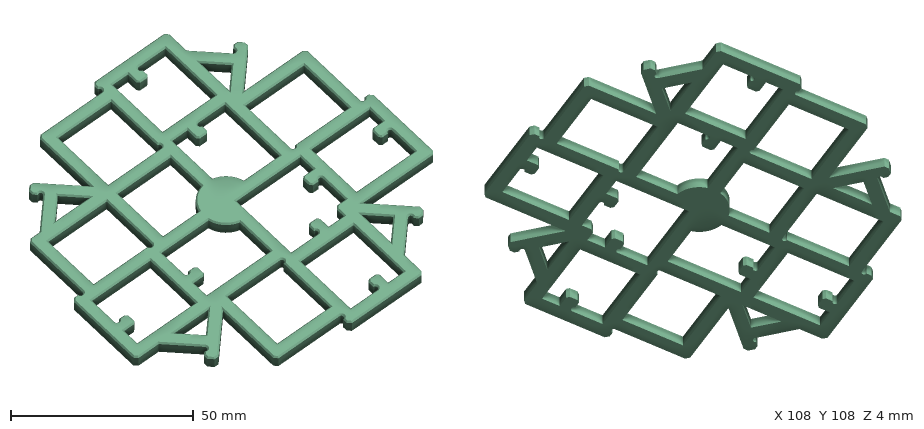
import cadquery as cq
import math

side = 108.0
thickness = 4.0
bar = 4.0
corner_cut = 1.0
cell_hook_length = 4.3
tip_cut = 0.75
edge_cut = 0.46
notch_radius = 0.75
hub_radius = 8.3

half_bar = bar / 2
far = side / 2
near = far - bar
pitch = near / 2
mid = pitch - half_bar
hook_line = mid / 2


def block(x0, y0, x1, y1):
    """Full-height block between two opposite corners."""
    return cq.Workplane("XY").box(x1 - x0, y1 - y0, thickness, centered=False).translate((x0, y0, 0))


def notch(x, y):
    """Full-height round cutter."""
    return cq.Workplane("XY").center(x, y).circle(notch_radius).extrude(thickness)


def turned(body, angle):
    """Copy of a body rotated about the Z axis."""
    return body.rotate((0, 0, 0), (0, 0, 1), angle)


def bevel_top(body):
    """Chamfer every edge of the top face."""
    return body.faces(">Z").edges().chamfer(edge_cut)


def hook(length, cut):
    """Hook pointing along +X from the origin, with its notched flank on the X axis."""
    body = block(-half_bar, -bar, length, 0).edges("|Z and >X").chamfer(cut)
    return body.cut(notch(notch_radius, 0))


def diagonal_arm():
    """Hooked arm along +X, propped by a brace running toward +Y."""
    start = mid * math.sqrt(2)
    brace_length = near - half_bar - start
    arm = block(start, -half_bar, near, half_bar)
    brace = block(near - bar, 0, near, brace_length)
    return arm.union(brace).union(hook(bar, corner_cut).translate((near, half_bar, 0)))


panels = [
    (-half_bar, -far, pitch, far),
    (-pitch, -near, half_bar, near),
    (-far, -half_bar, far, pitch),
    (-near, -pitch, near, half_bar),
]
frame = cq.Workplane("XY")
for panel in panels:
    frame = frame.union(block(*panel).edges("|Z").chamfer(corner_cut))

inner = pitch - bar
outer = pitch + bar
end = near - bar
cells = [
    (half_bar, outer, inner, near),
    (half_bar, -near, inner, -outer),
    (half_bar, -pitch, inner, -half_bar),
    (-inner, pitch, -half_bar, end),
    (-inner, -end, -half_bar, -pitch),
    (-inner, -inner, -half_bar, -half_bar),
    (-pitch, half_bar, -half_bar, inner),
    (-near, half_bar, -outer, inner),
    (outer, half_bar, near, inner),
    (-end, -inner, -pitch, -half_bar),
    (pitch, -inner, end, -half_bar),
]
for cell in cells:
    frame = frame.cut(block(*cell))

corner_fill = block(inner, inner, pitch, pitch).edges("|Z and <X and <Y").chamfer(corner_cut)
frame = frame.cut(block(half_bar, half_bar, pitch, pitch).cut(corner_fill))

for line in (pitch, near):
    relief = line + notch_radius
    for sign in (-1, 1):
        frame = frame.cut(notch(-half_bar, sign * relief))
        frame = frame.cut(notch(sign * relief, -half_bar))

for root in (pitch, near):
    hook_places = [
        (hook_line, root, -90),
        (hook_line, -root, 90),
        (-root, hook_line, 0),
        (root, hook_line, 180),
    ]
    for x, y, angle in hook_places:
        cell_hook = turned(hook(cell_hook_length, tip_cut), angle)
        frame = frame.union(cell_hook.translate((x, y, 0)))

for angle in (135, 225):
    arm = turned(diagonal_arm(), angle)
    frame = frame.union(arm).union(arm.mirror("YZ"))

hub = cq.Workplane("XY").circle(hub_radius).extrude(thickness)
hub = hub.cut(block(half_bar, half_bar, hub_radius, hub_radius))

result = bevel_top(frame.clean()).union(bevel_top(hub)).clean()